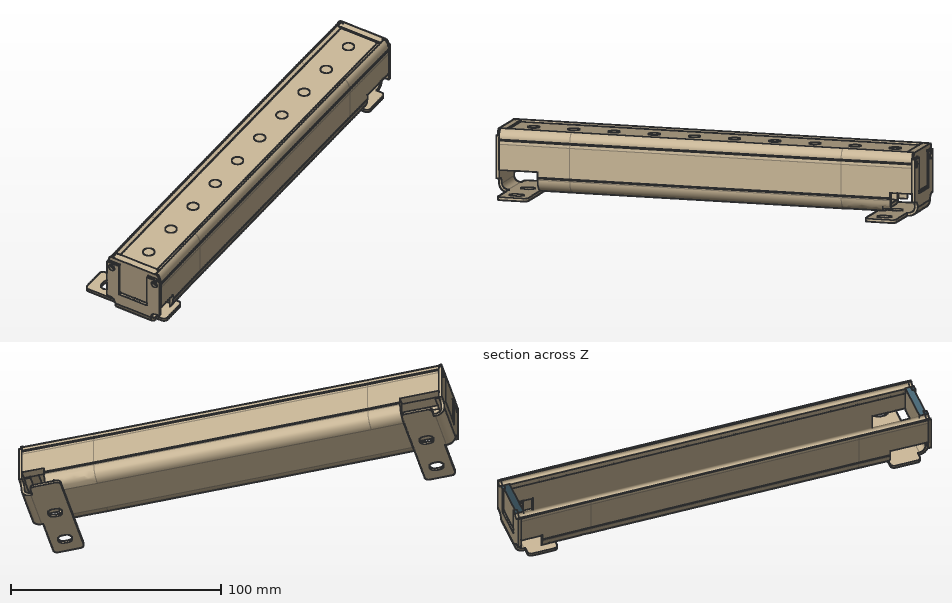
import cadquery as cq
import math

TOTAL_LENGTH = 208.4
TOTAL_HEIGHT = 31.39
END_Y = TOTAL_LENGTH / 2

SHEET = 1.5
FOOT_RIGHT_X = 14.87
TAB_REACH = 30.02
TAB_INSET = 5.2
TAB_WIDTH = 15.0
TAB_CORNER = 2.0
OUTER_SLOT_X = -22.3
INNER_SLOT_X = -4.3
SLOT_LENGTH = 7.0
SLOT_WIDTH = 5.0
STRIP_HALF = 10.0
BEND_INNER = 3.0
BEND_OUTER = BEND_INNER + SHEET
EAR_HALF = 14.6
EAR_BOTTOM = 7.4
EAR_TOP = 28.15
EAR_RELIEF_FILLET = 3.0
WINDOW_HALF = 7.85
WINDOW_BOTTOM = 10.8

HOUSING_END_Y = END_Y - SHEET
SIDE_HALF = 14.87
MIDDLE_HALF_LENGTH = 67.5
BOW = 0.26
TOP_BULGE = 0.75
STEP_DEPTH = 0.2
RIDGE_HALF = 12.2
FLOOR_BOTTOM = SHEET
BOTTOM_RADIUS = 6.4
LOWER_STEP_BOTTOM = 8.5
LOWER_STEP_TOP = 9.1
GROOVE_START = 24.2
GROOVE_END = 25.8
LIP_TOP = 26.4
CAVITY_HALF = 10.9
CAVITY_BOTTOM = 3.3
CAVITY_TOP = 22.0
SCREW_X = 11.93
SCREW_Z = 25.5
SCREW_DIAMETER = 3.2

NOTCH_TOP = 11.6
FRONT_NOTCH_LENGTH = 12.3
FRONT_FLOOR_CUT_LENGTH = 16.6
REAR_NOTCH_LENGTH = 20.7
SIDE_WALL = 2.0

PANEL_HALF = 10.25
PANEL_TOP = 30.5
PANEL_THICKNESS = 2.0
PANEL_INSET = 4.5
PANEL_END_Y = END_Y - PANEL_INSET
LIGHT_COUNT = 10
LIGHT_PITCH = 20.0
LIGHT_DIAMETER = 5.6
LIGHT_DEPTH = 0.1

CAP_RECESS = 0.7
CAP_TOP = TOTAL_HEIGHT - 0.1
CAP_HEAD_BOTTOM = 28.6
CAP_HEAD_HALF = SIDE_HALF - 0.8
CAP_HEAD_CORNER = 2.0
CAP_FACE_Y = END_Y - CAP_RECESS


def block(x_min, x_max, y_min, y_max, z_min, z_max):
    """Axis-aligned box given by its limits."""
    return cq.Workplane("XY").box(
        x_max - x_min, y_max - y_min, z_max - z_min, centered=False
    ).translate((x_min, y_min, z_min))


def at_both_ends(front_body):
    """The front body and its mirror image at the rear end."""
    return [front_body, front_body.mirror("XZ")]


def housing_outline(plane):
    """Closed outer section of the housing, with grooved sides and rounded corners."""
    inner_half = SIDE_HALF - STEP_DEPTH
    diagonal = math.cos(math.pi / 4)
    floor_half = inner_half - BOTTOM_RADIUS
    corner_z = FLOOR_BOTTOM + BOTTOM_RADIUS
    bottom_mid = (floor_half + BOTTOM_RADIUS * diagonal, corner_z - BOTTOM_RADIUS * diagonal)
    shoulder_width = inner_half - RIDGE_HALF
    shoulder_height = TOTAL_HEIGHT - LIP_TOP
    shoulder_chord = math.hypot(shoulder_width, shoulder_height)
    top_mid = (
        RIDGE_HALF + shoulder_width / 2 + TOP_BULGE * shoulder_height / shoulder_chord,
        LIP_TOP + shoulder_height / 2 + TOP_BULGE * shoulder_width / shoulder_chord,
    )

    def left(point):
        return (-point[0], point[1])

    right_side = [
        (inner_half, LOWER_STEP_BOTTOM),
        (SIDE_HALF, LOWER_STEP_TOP),
        (SIDE_HALF, GROOVE_START),
        (inner_half, GROOVE_END),
        (SIDE_HALF, GROOVE_END),
        (SIDE_HALF, LIP_TOP),
        (inner_half, LIP_TOP),
    ]
    outline = plane.moveTo(-floor_half, FLOOR_BOTTOM).lineTo(floor_half, FLOOR_BOTTOM)
    outline = outline.threePointArc(bottom_mid, (inner_half, corner_z))
    for point in right_side:
        outline = outline.lineTo(*point)
    outline = outline.threePointArc(top_mid, (RIDGE_HALF, TOTAL_HEIGHT)).lineTo(-RIDGE_HALF, TOTAL_HEIGHT)
    outline = outline.threePointArc(left(top_mid), left(right_side[-1]))
    for point in reversed(right_side[:-1]):
        outline = outline.lineTo(*left(point))
    outline = outline.lineTo(-inner_half, corner_z)
    outline = outline.threePointArc(left(bottom_mid), (-floor_half, FLOOR_BOTTOM))
    return outline.close()


def bevel_outline(plane, top_half, top_z):
    """Closed trapezoid that widens upward from the panel edges between the housing rims."""
    return plane.polyline([
        (-PANEL_HALF, PANEL_TOP),
        (PANEL_HALF, PANEL_TOP),
        (top_half, top_z),
        (-top_half, top_z),
    ]).close()


def full_bevel_outline(plane):
    """Bevel section up to the ridges of the housing rims."""
    return bevel_outline(plane, RIDGE_HALF, TOTAL_HEIGHT)


def bowed_prism(outline):
    """Section carried along the bar in three straight lengths, the middle one set toward -X."""
    stations = [
        (0, -HOUSING_END_Y),
        (-BOW, -MIDDLE_HALF_LENGTH),
        (-BOW, MIDDLE_HALF_LENGTH),
        (0, HOUSING_END_Y),
    ]
    lengths = []
    for (x_start, y_start), (x_end, y_end) in zip(stations, stations[1:]):
        section = outline(cq.Workplane("XZ", origin=(x_start, y_start, 0))).val()
        run = cq.Vector(x_end - x_start, y_end - y_start, 0)
        lengths.append(cq.Workplane(cq.Solid.extrudeLinear(section, [], run)))
    return lengths[0].union(lengths[1]).union(lengths[2])


def make_housing():
    """Slightly bowed extrusion: hollow below, open on top, notched under both ends."""
    body = bowed_prism(housing_outline)
    cavity = block(-CAVITY_HALF, CAVITY_HALF, -END_Y, END_Y, CAVITY_BOTTOM, CAVITY_TOP)
    panel_slot = block(-PANEL_HALF, PANEL_HALF, -END_Y, END_Y, CAVITY_TOP, TOTAL_HEIGHT)
    bevel = bowed_prism(full_bevel_outline)
    screw_holes = (
        cq.Workplane("XZ", origin=(0, END_Y, 0))
        .pushPoints([(-SCREW_X, SCREW_Z), (SCREW_X, SCREW_Z)])
        .circle(SCREW_DIAMETER / 2)
        .extrude(TOTAL_LENGTH)
    )
    body = body.cut(cavity).cut(panel_slot).cut(bevel).cut(screw_holes)

    full_half = SIDE_HALF + BOW
    inner_half = SIDE_HALF - SIDE_WALL
    front_notch_y = -END_Y + FRONT_NOTCH_LENGTH
    front_floor_y = -END_Y + FRONT_FLOOR_CUT_LENGTH
    rear_notch_y = END_Y - REAR_NOTCH_LENGTH
    front_notch = block(-full_half, full_half, -END_Y, front_notch_y, 0, NOTCH_TOP)
    front_inner_cut = block(-inner_half, inner_half, -END_Y, front_floor_y, 0, NOTCH_TOP)
    front_floor_cut = block(-full_half, full_half, -END_Y, front_floor_y, 0, CAVITY_BOTTOM)
    rear_notch = block(-full_half, full_half, rear_notch_y, END_Y, 0, NOTCH_TOP)
    return body.cut(front_notch).cut(front_inner_cut).cut(front_floor_cut).cut(rear_notch)


def make_panel():
    """Flat panel between the housing rims, with a row of faintly recessed lights."""
    panel = block(
        -PANEL_HALF, PANEL_HALF, -PANEL_END_Y, PANEL_END_Y, PANEL_TOP - PANEL_THICKNESS, PANEL_TOP
    )
    lights = (
        cq.Workplane("XY", origin=(0, 0, PANEL_TOP - LIGHT_DEPTH))
        .rarray(1, LIGHT_PITCH, 1, LIGHT_COUNT)
        .circle(LIGHT_DIAMETER / 2)
        .extrude(LIGHT_DEPTH)
    )
    return panel.cut(lights)


def make_front_cap():
    """Plug between the housing rims, with a T-shaped face that fills the bracket window."""
    plug = block(-PANEL_HALF, PANEL_HALF, -HOUSING_END_Y, -PANEL_END_Y, NOTCH_TOP, PANEL_TOP)
    bevel_fill_half = PANEL_HALF + (RIDGE_HALF - PANEL_HALF) * (CAP_TOP - PANEL_TOP) / (
        TOTAL_HEIGHT - PANEL_TOP
    )
    bevel_fill = bevel_outline(
        cq.Workplane("XZ", origin=(0, -PANEL_END_Y, 0)), bevel_fill_half, CAP_TOP
    ).extrude(HOUSING_END_Y - PANEL_END_Y)
    window_fill = block(
        -WINDOW_HALF, WINDOW_HALF, -CAP_FACE_Y, -HOUSING_END_Y, NOTCH_TOP, CAP_TOP
    )
    head = block(
        -CAP_HEAD_HALF, CAP_HEAD_HALF, -CAP_FACE_Y, -HOUSING_END_Y, CAP_HEAD_BOTTOM, CAP_TOP
    ).edges("|Y and >Z").fillet(CAP_HEAD_CORNER)
    return plug.union(bevel_fill).union(head).union(window_fill)


def make_front_bracket():
    """Bent sheet bracket: windowed ear plate, narrow bend and a side foot with two slots."""
    tab_outer_y = -END_Y + TAB_INSET
    tab_inner_y = tab_outer_y + TAB_WIDTH
    tab = block(-TAB_REACH, FOOT_RIGHT_X, tab_outer_y, tab_inner_y, 0, SHEET)
    tab = tab.edges("|Z").fillet(TAB_CORNER)
    slots = (
        cq.Workplane("XY", origin=(0, (tab_outer_y + tab_inner_y) / 2, 0))
        .pushPoints([(OUTER_SLOT_X, 0), (INNER_SLOT_X, 0)])
        .slot2D(SLOT_LENGTH, SLOT_WIDTH, 90)
        .extrude(SHEET)
    )

    bend = block(-STRIP_HALF, STRIP_HALF, -END_Y, tab_outer_y + TAB_CORNER, 0, EAR_BOTTOM)
    bend = bend.cut(
        block(-STRIP_HALF, STRIP_HALF, -HOUSING_END_Y, END_Y, SHEET, EAR_BOTTOM)
        .edges("|X and <Y and <Z").fillet(BEND_INNER)
    )
    bend = bend.edges("|X and <Y and <Z").fillet(BEND_OUTER)

    fillet_half = STRIP_HALF + EAR_RELIEF_FILLET
    ear_plate = block(
        -EAR_HALF, EAR_HALF, -END_Y, -HOUSING_END_Y, EAR_BOTTOM, EAR_TOP
    )
    gusset = block(
        -fillet_half, fillet_half, -END_Y, -HOUSING_END_Y, EAR_BOTTOM - EAR_RELIEF_FILLET, EAR_BOTTOM
    )
    gusset_rounds = (
        cq.Workplane("XZ", origin=(0, -HOUSING_END_Y, 0))
        .pushPoints([(side * fillet_half, EAR_BOTTOM - EAR_RELIEF_FILLET) for side in (-1, 1)])
        .circle(EAR_RELIEF_FILLET)
        .extrude(SHEET)
    )
    window = block(-WINDOW_HALF, WINDOW_HALF, -END_Y, -HOUSING_END_Y, WINDOW_BOTTOM, EAR_TOP)
    screw_holes = (
        cq.Workplane("XZ", origin=(0, -HOUSING_END_Y, 0))
        .pushPoints([(-SCREW_X, SCREW_Z), (SCREW_X, SCREW_Z)])
        .circle(SCREW_DIAMETER / 2)
        .extrude(SHEET)
    )
    bracket = ear_plate.union(gusset.cut(gusset_rounds)).cut(window).cut(screw_holes)
    return bracket.union(bend).union(tab.cut(slots))


panel = make_panel()
caps = at_both_ends(make_front_cap())
housing = make_housing().cut(caps[0]).cut(caps[1])
brackets = at_both_ends(make_front_bracket())

result = cq.Compound.makeCompound(
    [housing.solids().val(), panel.solids().val()]
    + [cap.solids().val() for cap in caps]
    + [bracket.solids().val() for bracket in brackets]
)